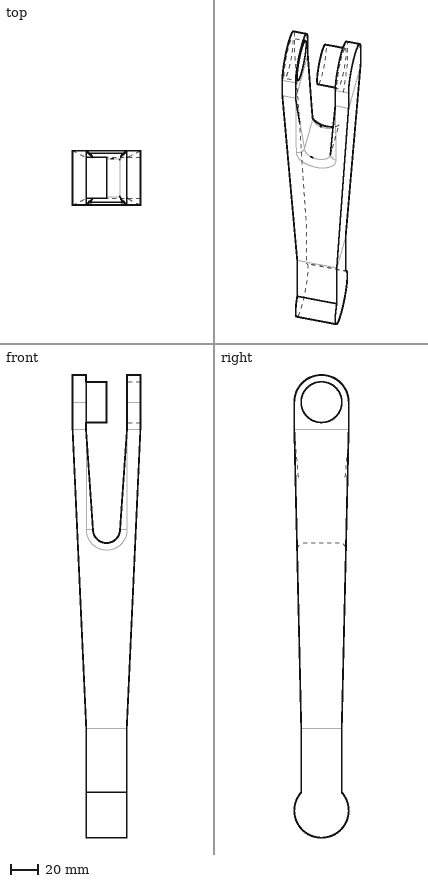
import cadquery as cq
import math

length = 340.0
head_width = 50.0
head_depth = 40.0
stem_side = 30.0
head_radius = head_depth / 2
foot_radius = head_depth / 2
pin_z = length - head_radius
taper_top_z = length - head_depth
taper_bottom_z = 80.5

gap = 30.0
pin_diameter = 30.0
pin_length = 15.0
slot_radius = 10.0
slot_end_z = 226.5

rim_radius = gap / 2 - slot_radius
rim_start_scale = 0.01
rim_clearance = 1.0

face_angle = math.atan((head_depth - stem_side) / 2 / (taper_top_z - taper_bottom_z))
slot_end_depth = stem_side / 2 + (slot_end_z - taper_bottom_z) * math.tan(face_angle)
rim_height = (taper_top_z - slot_end_z) / math.cos(face_angle)


def arm():
    """Round-topped head, tapered shank, square stem and cylindrical foot."""
    head = cq.Workplane("XY").workplane(offset=taper_top_z)
    head = head.rect(head_width, head_depth).extrude(pin_z - taper_top_z)
    crown = cq.Workplane("YZ").center(0, pin_z).circle(head_radius).extrude(head_width / 2, both=True)
    shank = (
        cq.Workplane("XY").workplane(offset=taper_bottom_z).rect(stem_side, stem_side)
        .workplane(offset=taper_top_z - taper_bottom_z).rect(head_width, head_depth)
        .loft(ruled=True)
    )
    stem = cq.Workplane("XY").workplane(offset=foot_radius).rect(stem_side, stem_side)
    stem = stem.extrude(taper_bottom_z - foot_radius)
    foot = cq.Workplane("YZ").center(0, foot_radius).circle(foot_radius).extrude(stem_side / 2, both=True)
    return head.union(crown).union(shank).union(stem).union(foot)


def slot():
    """Open fork gap, narrowing below the head to a round end."""
    return (
        cq.Workplane("XZ")
        .moveTo(-gap / 2, length)
        .lineTo(-gap / 2, taper_top_z)
        .lineTo(-slot_radius, slot_end_z)
        .threePointArc((0, slot_end_z - slot_radius), (slot_radius, slot_end_z))
        .lineTo(gap / 2, taper_top_z)
        .lineTo(gap / 2, length)
        .close()
        .extrude(head_depth, both=True)
    )


def rim_profile(plane, scale):
    """Corner waste outside a quarter round; local X across the gap, local Y out of the face."""
    size = rim_radius * scale
    inner = gap / 2 - size
    diagonal = size * (1 - math.sqrt(0.5))
    return (
        plane.moveTo(inner, -size)
        .threePointArc((inner + diagonal, -diagonal), (gap / 2, 0))
        .lineTo(gap / 2, rim_clearance * scale)
        .lineTo(inner - rim_clearance * scale, rim_clearance * scale)
        .lineTo(inner - rim_clearance * scale, -size)
        .close()
    )


def front_rim():
    """Waste cut from the front face to round the slot edge, tilted with the face."""
    bottom = rim_profile(cq.Workplane("XY"), 1).revolve(180, (0, 0, 0), (0, 1, 0))
    lower = rim_profile(cq.Workplane("XY"), 1).wires().val()
    upper = rim_profile(cq.Workplane("XY"), rim_start_scale).wires().val()
    side = cq.Solid.makeLoft([lower, upper.translate(cq.Vector(0, 0, rim_height))], True)
    rim = bottom.union(cq.Workplane(side)).union(cq.Workplane(side.mirror("YZ")))
    rim = rim.mirror("XZ")
    rim = rim.rotate((0, 0, 0), (1, 0, 0), math.degrees(face_angle))
    return rim.translate((0, -slot_end_depth, slot_end_z))


rim = front_rim()
pin = cq.Workplane("YZ", origin=(-gap / 2, 0, pin_z)).circle(pin_diameter / 2).extrude(pin_length)
eye = cq.Workplane("YZ", origin=(0, 0, pin_z)).circle(pin_diameter / 2).extrude(head_width)

result = arm().cut(slot()).cut(rim).cut(rim.mirror("XZ")).cut(eye).union(pin)